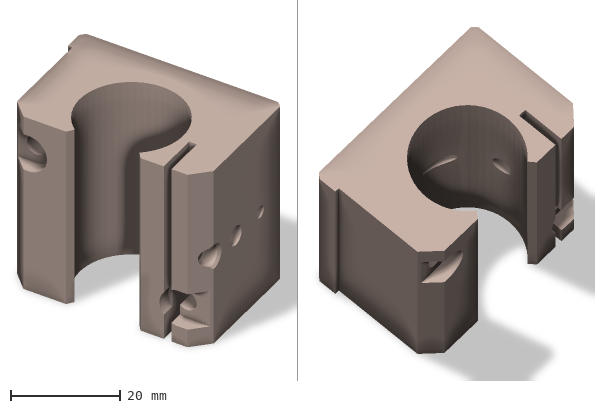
import cadquery as cq
import math

width = 43.0
depth = 28.0
height = 39.0
middle_x = width / 2
middle_z = height / 2

back_chamfer_x = 0.95
back_chamfer_y = 1.05
front_chamfer = 3.5
side_step = 0.95
locating_edge_y = 23.05

bore_radius = 11.05
bore_y = 9.98
mouth_inner_half = 6.92
mouth_outer_half = 7.95

slit_x = 35.25
slit_width = 1.65
slit_depth = 9.0

mount_offset_x = 16.05
mount_offset_z = 11.52
mount_hole_diameter = 4.2
seat_radius = 4.0
seat_depth = 3.0

oil_hole_diameter = 2.6
oil_hole_y = 19.95

set_screw_diameter = 4.13
set_screw_y = 11.35

screw_y = 3.55
screw_recess_diameter = 4.4
screw_recess_depth = 3.45
screw_mouth_chamfer = 0.5


def block():
    return (
        cq.Workplane("XY")
        .moveTo(side_step + front_chamfer, 0)
        .lineTo(width - front_chamfer, 0)
        .lineTo(width, front_chamfer)
        .lineTo(width, depth - back_chamfer_y)
        .lineTo(width - back_chamfer_x, depth)
        .lineTo(back_chamfer_x, depth)
        .lineTo(0, depth - back_chamfer_y)
        .lineTo(0, locating_edge_y)
        .lineTo(side_step, locating_edge_y)
        .lineTo(side_step, front_chamfer)
        .close()
        .extrude(height)
    )


def open_bore():
    lip_y = bore_y - math.sqrt(bore_radius**2 - mouth_inner_half**2)
    return (
        cq.Workplane("XY")
        .moveTo(middle_x - mouth_outer_half, 0)
        .lineTo(middle_x - mouth_inner_half, lip_y)
        .threePointArc((middle_x, bore_y + bore_radius), (middle_x + mouth_inner_half, lip_y))
        .lineTo(middle_x + mouth_outer_half, 0)
        .close()
        .extrude(height)
    )


def clamping_slit():
    return cq.Workplane("XY").box(slit_width, slit_depth, height, (True, False, False)).translate((slit_x, 0, 0))


def mounting_hole(side):
    """Through hole with a round-ended seat open to the side: -1 left, +1 right."""
    x = middle_x + side * mount_offset_x
    z = middle_z - side * mount_offset_z
    runout = width - middle_x - mount_offset_x

    plane = cq.Workplane("XZ").center(x, z)
    hole = plane.circle(mount_hole_diameter / 2).extrude(-depth)
    round_end = plane.circle(seat_radius).extrude(-seat_depth)
    open_end = plane.center(side * runout / 2, 0).rect(runout, 2 * seat_radius).extrude(-seat_depth)
    return hole.union(round_end).union(open_end)


def right_face_hole(y, diameter, hole_depth):
    return (
        cq.Workplane("YZ", origin=(width, y, middle_z))
        .circle(diameter / 2)
        .extrude(-hole_depth)
    )


def screw_recess():
    recess = right_face_hole(screw_y, screw_recess_diameter, screw_recess_depth)
    radius = screw_recess_diameter / 2
    mouth = cq.Workplane(
        cq.Solid.makeCone(
            radius + screw_mouth_chamfer,
            radius,
            screw_mouth_chamfer,
            pnt=cq.Vector(width, screw_y, middle_z),
            dir=cq.Vector(-1, 0, 0),
        )
    )
    return recess.union(mouth)


result = block().cut(open_bore()).cut(clamping_slit())
for side in (-1, 1):
    result = result.cut(mounting_hole(side))
result = result.cut(right_face_hole(oil_hole_y, oil_hole_diameter, width - middle_x))
result = result.cut(right_face_hole(set_screw_y, set_screw_diameter, width - middle_x))
result = result.cut(screw_recess())